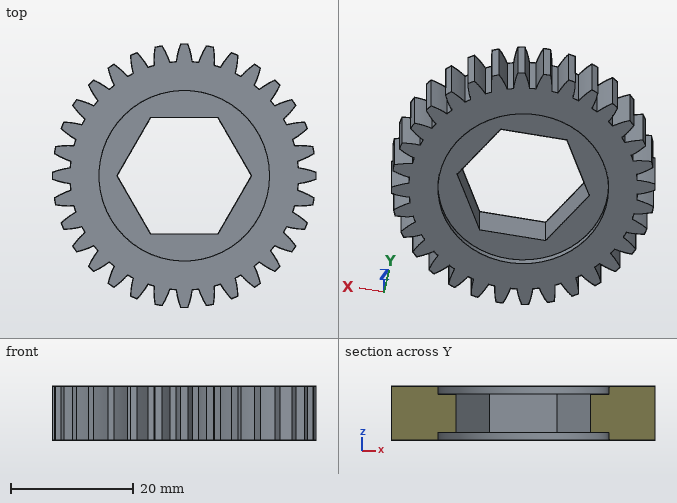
import cadquery as cq
import math

outer_radius = 21.6
face_width = 8.9
tooth_count = 32
module = 2 * outer_radius / (tooth_count + 2)
pitch_radius = outer_radius - module
dedendum_in_modules = 1.25
root_radius = pitch_radius - dedendum_in_modules * module

tip_thickness = 1.15
pitch_thickness = math.pi * module / 2
root_thickness = 2.65

hex_sides = 6
hex_across_flats = 19.05
hex_across_corners = hex_across_flats / math.cos(math.pi / hex_sides)

recess_diameter = 27.95
recess_depth = 1.3


def polar(radius, angle):
    return radius * math.cos(angle), radius * math.sin(angle)


def gear_outline():
    """Closed outline of teeth with bowed flanks and concentric tip and root arcs."""
    tooth_angle = 2 * math.pi / tooth_count
    tip_half = math.asin(tip_thickness / 2 / outer_radius)
    pitch_half = math.asin(pitch_thickness / 2 / pitch_radius)
    root_half = math.asin(root_thickness / 2 / root_radius)

    outline = cq.Workplane("XY").moveTo(*polar(root_radius, -root_half))
    for tooth in range(tooth_count):
        middle = tooth * tooth_angle
        gap_middle = middle + tooth_angle / 2
        next_start = middle + tooth_angle - root_half
        outline = (
            outline
            .threePointArc(polar(pitch_radius, middle - pitch_half), polar(outer_radius, middle - tip_half))
            .threePointArc(polar(outer_radius, middle), polar(outer_radius, middle + tip_half))
            .threePointArc(polar(pitch_radius, middle + pitch_half), polar(root_radius, middle + root_half))
            .threePointArc(polar(root_radius, gap_middle), polar(root_radius, next_start))
        )
    return outline.close()


def recess(bottom):
    """Round disc to cut away, standing on the given height."""
    return cq.Workplane("XY").workplane(offset=bottom).circle(recess_diameter / 2).extrude(recess_depth)


gear = gear_outline().extrude(face_width)
hex_bore = cq.Workplane("XY").polygon(hex_sides, hex_across_corners).extrude(face_width)
lower_recess = recess(0)
upper_recess = recess(face_width - recess_depth)

result = gear.cut(hex_bore).cut(lower_recess).cut(upper_recess)